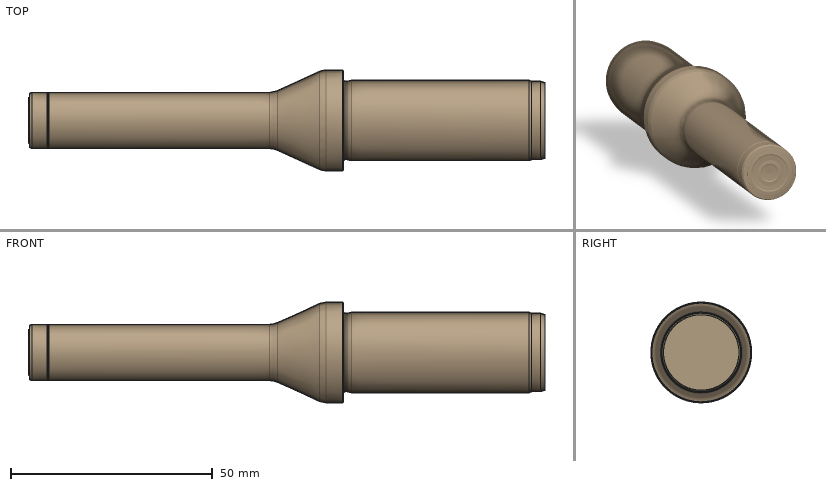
import cadquery as cq
import math

total_length = 128.0

tip_diameter = 14.0
tip_length = 4.9
joint_bevel_length = 0.3
joint_bevel_depth = 0.1
tip_chamfer_length = 0.9
tip_chamfer_depth = 0.3
face_slope = math.radians(5)
face_step = 0.1
step_width = 0.3
outer_ring_radius = 5.6
dish_radius = 4.7
crown_radius = 3.2
centre_radius = 2.3

shaft_diameter = 14.0
cone_start = 60.8
cone_end = 72.8
cone_start_blend = 4.7
cone_end_blend = 3.8

flange_diameter = 25.0
flange_back = 78.1
flange_chamfer = 0.3

shank_diameter = 20.0
relief_diameter = 19.5
neck_root_radius = 0.4
neck_end = 79.0
neck_flare_end = 80.0
land_start = 124.7
land_bevel = 0.6
end_chamfer_length = 1.2
end_chamfer_depth = 0.4


def turned(profile):
    """Close an (x, radius) profile and turn it about the X axis."""
    return profile.close().revolve(360, (0, 0, 0), (1, 0, 0))


def make_tip():
    """Round tip whose end face is a set of shallow conical rings."""
    tip_radius = tip_diameter / 2
    rim_radius = tip_radius - tip_chamfer_depth

    def rise(inner_radius, outer_radius):
        return (outer_radius - inner_radius) * math.tan(face_slope)

    ring_x = rise(dish_radius, outer_ring_radius)
    rim_start_x = ring_x + face_step
    rim_x = rim_start_x + rise(outer_ring_radius, rim_radius)
    dish_x = face_step
    crown_x = dish_x + rise(crown_radius, dish_radius - step_width)
    crown_inner_x = crown_x - rise(centre_radius, crown_radius)
    centre_x = crown_inner_x + face_step
    apex_x = centre_x + rise(0, centre_radius - step_width)

    return turned(
        cq.Workplane("XY")
        .moveTo(apex_x, 0)
        .lineTo(centre_x, centre_radius - step_width)
        .lineTo(crown_inner_x, centre_radius)
        .lineTo(crown_x, crown_radius)
        .lineTo(dish_x, dish_radius - step_width)
        .lineTo(0, dish_radius)
        .lineTo(ring_x, outer_ring_radius)
        .lineTo(rim_start_x, outer_ring_radius)
        .lineTo(rim_x, rim_radius)
        .lineTo(tip_chamfer_length, tip_radius)
        .lineTo(tip_length - joint_bevel_length, tip_radius)
        .lineTo(tip_length, tip_radius - joint_bevel_depth)
        .lineTo(tip_length, 0)
    )


def make_holder():
    """Shaft, conical shoulder, flange and shank in one turned piece."""
    shaft_radius = shaft_diameter / 2
    flange_radius = flange_diameter / 2
    shank_radius = shank_diameter / 2
    relief_radius = relief_diameter / 2
    holder = turned(
        cq.Workplane("XY")
        .moveTo(tip_length, 0)
        .lineTo(tip_length, shaft_radius - joint_bevel_depth)
        .lineTo(tip_length + joint_bevel_length, shaft_radius)
        .lineTo(cone_start, shaft_radius)
        .lineTo(cone_end, flange_radius)
        .lineTo(flange_back - flange_chamfer, flange_radius)
        .lineTo(flange_back, flange_radius - flange_chamfer)
        .lineTo(flange_back, relief_radius)
        .lineTo(neck_end, relief_radius)
        .lineTo(neck_flare_end, shank_radius)
        .lineTo(land_start - land_bevel, shank_radius)
        .lineTo(land_start, relief_radius)
        .lineTo(total_length - end_chamfer_length, relief_radius)
        .lineTo(total_length, relief_radius - end_chamfer_depth)
        .lineTo(total_length, 0)
    )
    holder = blend(holder, cone_start, shaft_radius, cone_start_blend)
    holder = blend(holder, cone_end, flange_radius, cone_end_blend)
    return blend(holder, flange_back, relief_radius, neck_root_radius)


def blend(body, x, radius, blend_radius):
    """Round the circular edge that lies at x with the given radius."""
    margin = 0.01
    box = cq.selectors.BoxSelector(
        (x - margin, -radius - margin, -radius - margin),
        (x + margin, radius + margin, radius + margin),
        boundingbox=True,
    )
    return body.edges("%CIRCLE").edges(box).fillet(blend_radius)


tip = make_tip()
holder = make_holder()

result = cq.Compound.makeCompound([tip.val(), holder.val()])